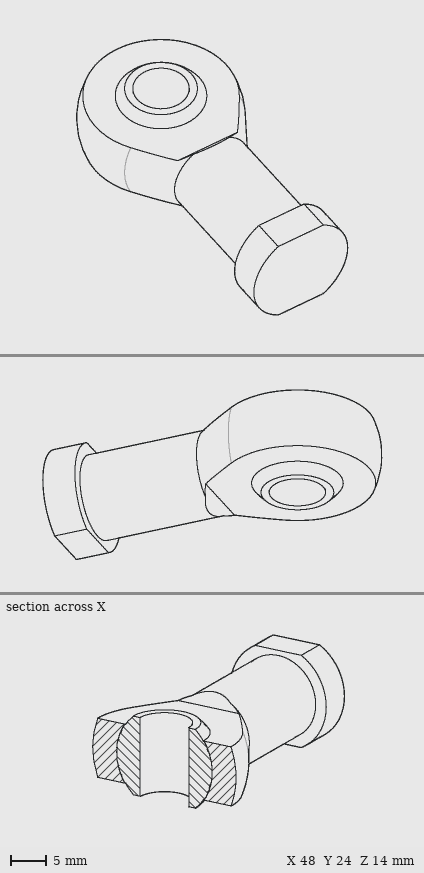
import cadquery as cq
import math

total_length = 48.0
head_radius = 12.0
head_thickness = 9.0
shank_end = total_length - head_radius

neck_angle = math.radians(31)
shank_radius = 12.5 / 2
relief_start = 12.0

collar_diameter = 16.0
collar_length = 5.0
collar_across_flats = 14.0

ball_diameter = 15.85
ball_width = 12.0
bore_diameter = 8.0


def make_ball_blank():
    """Ball truncated by two flat faces, without its bore."""
    slab = cq.Workplane("XY").box(ball_diameter, ball_diameter, ball_width)
    return cq.Workplane("XY").sphere(ball_diameter / 2).intersect(slab)


def make_turned_body():
    """Spherical head, tangent conical neck and shank, turned about X."""
    tangent_x = head_radius * math.sin(neck_angle)
    tangent_radius = head_radius * math.cos(neck_angle)
    neck_end = tangent_x + (tangent_radius - shank_radius) / math.tan(neck_angle)
    arc_middle = head_radius * math.sqrt(0.5)
    return (
        cq.Workplane("XY")
        .moveTo(-head_radius, 0)
        .threePointArc((-arc_middle, arc_middle), (tangent_x, tangent_radius))
        .lineTo(neck_end, shank_radius)
        .lineTo(shank_end, shank_radius)
        .lineTo(shank_end, 0)
        .close()
        .revolve(360, (0, 0, 0), (1, 0, 0))
    )


def make_head_relief(side):
    """Material removed above (side=1) or below (side=-1) the flat eye."""
    face_z = head_thickness / 2
    relief_depth = head_radius - face_z
    return (
        cq.Workplane("XZ")
        .polyline([
            (-head_radius, side * face_z),
            (relief_start, side * face_z),
            (relief_start + relief_depth, side * head_radius),
            (-head_radius, side * head_radius),
        ])
        .close()
        .extrude(head_radius, both=True)
    )


def make_collar():
    """Round collar with two wrench flats facing +Z and -Z."""
    collar_start = shank_end - collar_length
    disc = (
        cq.Workplane("YZ", origin=(collar_start, 0, 0))
        .circle(collar_diameter / 2)
        .extrude(collar_length)
    )
    flats = (
        cq.Workplane("YZ", origin=(collar_start, 0, 0))
        .rect(collar_diameter, collar_across_flats)
        .extrude(collar_length)
    )
    return disc.intersect(flats)


def make_housing():
    """Rod end housing with a spherical seat that matches the ball."""
    housing = make_turned_body()
    for side in (1, -1):
        housing = housing.cut(make_head_relief(side))
    return housing.union(make_collar()).cut(make_ball_blank())


def make_ball():
    """Bearing ball with its cylindrical bore along Z."""
    bore = (
        cq.Workplane("XY")
        .circle(bore_diameter / 2)
        .extrude(ball_width, both=True)
    )
    return make_ball_blank().cut(bore)


housing = make_housing()
ball = make_ball()

result = cq.Compound.makeCompound([*housing.solids().vals(), *ball.solids().vals()])